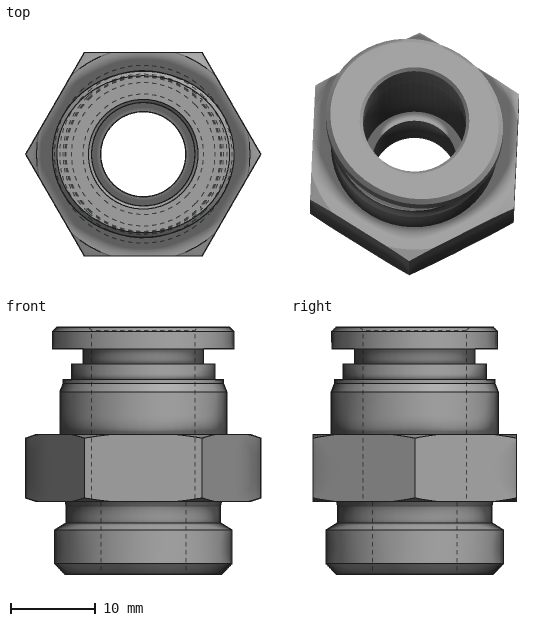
import cadquery as cq
import math


TOTAL_HEIGHT = 29.1
THREAD_CHAMFER_TOP = 1.28
THREAD_TOP = 5.2
UNDERCUT_BOTTOM = 6.05
UNDERCUT_TOP = 8.03
HEX_BOTTOM = 8.55
HEX_TOP = 16.47
BARREL_TOP = 21.45
SHOULDER_BOTTOM = 22.5
SHOULDER_TOP = 22.93
COLLAR_TOP = 24.8
FLANGE_BOTTOM = 26.55

THREAD_DIAMETER = 20.95
THREAD_END_DIAMETER = 18.48
UNDERCUT_DIAMETER = 18.2
UNDERCUT_ROOT_DIAMETER = 18.42
BARREL_DIAMETER = 19.7
SHOULDER_DIAMETER = 18.9
HEX_ACROSS_FLATS = 24.0
HEX_ACROSS_CORNERS = HEX_ACROSS_FLATS / math.cos(math.pi / 6)
HEX_FACE_DIAMETER = 25.15
HEX_CORNER_DROP = 0.45
THROUGH_DIAMETER = 10.0
SOCKET_DIAMETER = 12.2
SOCKET_FLOOR = HEX_BOTTOM

FLANGE_LENGTH = 21.4
FLANGE_WIDTH = 19.55
FLANGE_CHAMFER = 0.52
NECK_DIAMETER = 14.2
COLLAR_DIAMETER = 16.9
RING_BORE_DIAMETER = 12.15
RING_BORE_CHAMFER = 0.38


def cylinder(diameter, bottom, top):
    """Upright cylinder on the Z axis between two heights."""
    return cq.Workplane("XY").workplane(offset=bottom).circle(diameter / 2).extrude(top - bottom)


def revolved(profile):
    """Solid of revolution about Z from (diameter, height) pairs listed upwards."""
    outline = [(diameter / 2, height) for diameter, height in profile]
    axis_ends = [(0, profile[-1][1]), (0, profile[0][1])]
    return cq.Workplane("XZ").polyline(outline + axis_ends).close().revolve(360, (0, 0), (0, 1))


def make_hexagon():
    """Hexagon with corners on the X axis, its corners bevelled by a cone at both ends."""
    prism = (
        cq.Workplane("XY")
        .workplane(offset=HEX_BOTTOM)
        .polygon(6, HEX_ACROSS_CORNERS)
        .extrude(HEX_TOP - HEX_BOTTOM)
    )
    bevel_envelope = revolved([
        (HEX_FACE_DIAMETER, HEX_BOTTOM),
        (HEX_ACROSS_CORNERS, HEX_BOTTOM + HEX_CORNER_DROP),
        (HEX_ACROSS_CORNERS, HEX_TOP - HEX_CORNER_DROP),
        (HEX_FACE_DIAMETER, HEX_TOP),
    ])
    return prism.intersect(bevel_envelope)


def make_housing():
    """Threaded end, hexagon and barrel, with a through hole that widens into a socket for the tube."""
    threaded_end = revolved([
        (THREAD_END_DIAMETER, 0),
        (THREAD_DIAMETER, THREAD_CHAMFER_TOP),
        (THREAD_DIAMETER, THREAD_TOP),
        (UNDERCUT_DIAMETER, UNDERCUT_BOTTOM),
        (UNDERCUT_DIAMETER, UNDERCUT_TOP),
        (UNDERCUT_ROOT_DIAMETER, HEX_BOTTOM),
    ])
    barrel = revolved([
        (BARREL_DIAMETER, HEX_TOP),
        (BARREL_DIAMETER, BARREL_TOP),
        (SHOULDER_DIAMETER, SHOULDER_BOTTOM),
        (SHOULDER_DIAMETER, SHOULDER_TOP),
    ])
    through_hole = cylinder(THROUGH_DIAMETER, 0, SHOULDER_TOP)
    tube_socket = cylinder(SOCKET_DIAMETER, SOCKET_FLOOR, SHOULDER_TOP)
    solid_housing = make_hexagon().union(threaded_end).union(barrel)
    return solid_housing.cut(through_hole).cut(tube_socket)


def make_release_ring():
    """Oval flange with a chamfered rim on a round neck and collar, resting on the housing shoulder."""
    flange = (
        cq.Workplane("XY")
        .workplane(offset=FLANGE_BOTTOM)
        .ellipse(FLANGE_LENGTH / 2, FLANGE_WIDTH / 2)
        .extrude(TOTAL_HEIGHT - FLANGE_BOTTOM)
        .faces(">Z")
        .chamfer(FLANGE_CHAMFER)
    )
    neck = cylinder(NECK_DIAMETER, COLLAR_TOP, FLANGE_BOTTOM)
    collar = cylinder(COLLAR_DIAMETER, SHOULDER_TOP, COLLAR_TOP)
    bore = revolved([
        (RING_BORE_DIAMETER, SHOULDER_TOP),
        (RING_BORE_DIAMETER, TOTAL_HEIGHT - RING_BORE_CHAMFER),
        (RING_BORE_DIAMETER + 2 * RING_BORE_CHAMFER, TOTAL_HEIGHT),
    ])
    return flange.union(neck).union(collar).cut(bore)


housing = make_housing()
release_ring = make_release_ring()

result = cq.Compound.makeCompound([housing.val(), release_ring.val()])